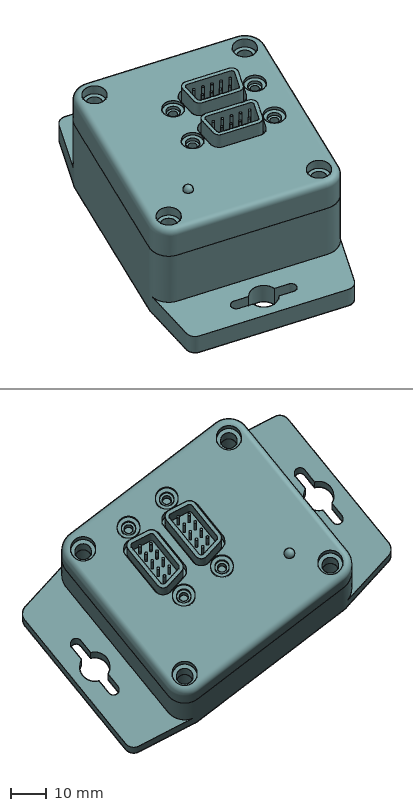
import cadquery as cq
import math

ENCLOSURE_X = 64.0
ENCLOSURE_Y = 58.0
CORNER_RADIUS = 6.0
BASE_HEIGHT = 25.0
LID_HEIGHT = 10.0
LID_TOP_Z = BASE_HEIGHT + LID_HEIGHT
LID_EDGE_RADIUS = 2.0

EAR_SPAN_X = 94.0
EAR_HEIGHT = 6.6
EAR_ROOT_X = 27.7
EAR_TIP_HALF_Y = 25.3
EAR_CORNER_RADIUS = 3.0
CORNER_CENTER_X = ENCLOSURE_X / 2 - CORNER_RADIUS
CORNER_CENTER_Y = ENCLOSURE_Y / 2 - CORNER_RADIUS
EAR_ROOT_HALF_Y = CORNER_CENTER_Y + math.sqrt(CORNER_RADIUS**2 - (EAR_ROOT_X - CORNER_CENTER_X) ** 2)

KEYHOLE_X = 39.95
KEYHOLE_DIAMETER = 8.5
KEYHOLE_SLOT_LENGTH = 20.0
KEYHOLE_SLOT_WIDTH = 3.2

SCREW_HOLE_DIAMETER = 4.6
SCREW_HEAD_DIAMETER = 7.05
SCREW_HEAD_DEPTH = 3.2

CONNECTOR_Y = 7.5
CONNECTOR_XS = [-12.1, 1.5]
CONNECTOR_TOP_Z = 39.0
SHELL_WIDTH = 9.4
SHELL_LONG_SIDE = 17.9
SHELL_SIDE_ANGLE = 10.0
SHELL_CORNER_RADIUS = 2.0
SHELL_WALL = 1.1
CONNECTOR_FLOOR = 0.9
RECESS_GAP = 0.9
RECESS_DEPTH = 5.0
RECESS_FLOOR_Z = LID_TOP_Z - RECESS_DEPTH

PIN_DIAMETER = 0.75
LONG_ROW_PINS = 5
PIN_ROW_LENGTH = 11.1
PIN_PITCH = PIN_ROW_LENGTH / (LONG_ROW_PINS - 1)
PIN_ROW_OFFSET = 1.4
PIN_ROWS = [(-PIN_ROW_OFFSET, LONG_ROW_PINS), (PIN_ROW_OFFSET, LONG_ROW_PINS - 1)]
PIN_TOP_Z = 38.5

LOCK_SCREW_SPACING = 25.0
LOCK_SCREW_STEPS = [(6.4, 1.0), (4.0, 2.2), (2.5, RECESS_DEPTH)]

LIGHT_X = 18.6
LIGHT_Y = -13.8
LIGHT_RADIUS = 1.5


def enclosure_block(height, bottom_z):
    block = cq.Workplane("XY").box(ENCLOSURE_X, ENCLOSURE_Y, height, centered=(True, True, False))
    return block.edges("|Z").fillet(CORNER_RADIUS).translate((0, 0, bottom_z))


def screw_cylinders(diameter, height, bottom_z):
    return (
        cq.Workplane("XY", origin=(0, 0, bottom_z))
        .rect(2 * CORNER_CENTER_X, 2 * CORNER_CENTER_Y, forConstruction=True)
        .vertices()
        .circle(diameter / 2)
        .extrude(height)
    )


def ear_plate():
    """Plate under the whole enclosure whose two ends form the ears."""
    tip_x = EAR_SPAN_X / 2
    outline = [
        (-tip_x, -EAR_TIP_HALF_Y),
        (-EAR_ROOT_X, -EAR_ROOT_HALF_Y),
        (EAR_ROOT_X, -EAR_ROOT_HALF_Y),
        (tip_x, -EAR_TIP_HALF_Y),
        (tip_x, EAR_TIP_HALF_Y),
        (EAR_ROOT_X, EAR_ROOT_HALF_Y),
        (-EAR_ROOT_X, EAR_ROOT_HALF_Y),
        (-tip_x, EAR_TIP_HALF_Y),
    ]
    plate = cq.Workplane("XY").polyline(outline).close().extrude(EAR_HEIGHT)
    return plate.edges("|Z and (<X or >X)").fillet(EAR_CORNER_RADIUS)


def keyholes():
    centers = [(-KEYHOLE_X, 0), (KEYHOLE_X, 0)]
    slots = (
        cq.Workplane("XY")
        .pushPoints(centers)
        .slot2D(KEYHOLE_SLOT_LENGTH, KEYHOLE_SLOT_WIDTH, 90)
        .extrude(EAR_HEIGHT)
    )
    holes = cq.Workplane("XY").pushPoints(centers).circle(KEYHOLE_DIAMETER / 2).extrude(EAR_HEIGHT)
    return slots.union(holes)


def make_base():
    base = enclosure_block(BASE_HEIGHT, 0).union(ear_plate())
    return base.cut(keyholes()).cut(screw_cylinders(SCREW_HOLE_DIAMETER, BASE_HEIGHT, 0))


def d_prism(offset, bottom_z, top_z):
    """Rounded D-shaped prism about the origin, grown outward by `offset` from the shell outline."""
    half_width = SHELL_WIDTH / 2
    long_half = SHELL_LONG_SIDE / 2
    taper = math.tan(math.radians(SHELL_SIDE_ANGLE))
    short_half = long_half - SHELL_WIDTH * taper
    slant_shift = offset / math.cos(math.radians(SHELL_SIDE_ANGLE))
    long_half += slant_shift + offset * taper
    short_half += slant_shift - offset * taper
    half_width += offset
    outline = [
        (-half_width, -long_half),
        (half_width, -short_half),
        (half_width, short_half),
        (-half_width, long_half),
    ]
    prism = cq.Workplane("XY", origin=(0, 0, bottom_z)).polyline(outline).close().extrude(top_z - bottom_z)
    return prism.edges("|Z").fillet(SHELL_CORNER_RADIUS + offset)


def lock_screw_hole():
    """Stepped hole about the origin, narrowing downward from the lid top."""
    hole = cq.Workplane("XY")
    for diameter, depth in LOCK_SCREW_STEPS:
        step = cq.Workplane("XY", origin=(0, 0, LID_TOP_Z - depth)).circle(diameter / 2).extrude(depth)
        hole = hole.add(step)
    return hole.combine()


def make_lid():
    lid = enclosure_block(LID_HEIGHT, BASE_HEIGHT).faces(">Z").edges().fillet(LID_EDGE_RADIUS)
    lid = lid.cut(screw_cylinders(SCREW_HOLE_DIAMETER, LID_HEIGHT, BASE_HEIGHT))
    lid = lid.cut(screw_cylinders(SCREW_HEAD_DIAMETER, SCREW_HEAD_DEPTH, LID_TOP_Z - SCREW_HEAD_DEPTH))
    recess = d_prism(RECESS_GAP, RECESS_FLOOR_Z, LID_TOP_Z)
    for x in CONNECTOR_XS:
        lid = lid.cut(recess.translate((x, CONNECTOR_Y, 0)))
        for side in (-1, 1):
            screw_y = CONNECTOR_Y + side * LOCK_SCREW_SPACING / 2
            lid = lid.cut(lock_screw_hole().translate((x, screw_y, 0)))
    return lid


def make_connector(x):
    """Open-topped D-shaped shell with its contact pins, standing on the recess floor."""
    cavity_floor_z = RECESS_FLOOR_Z + CONNECTOR_FLOOR
    connector = d_prism(0, RECESS_FLOOR_Z, CONNECTOR_TOP_Z)
    connector = connector.cut(d_prism(-SHELL_WALL, cavity_floor_z, CONNECTOR_TOP_Z))
    for row_x, count in PIN_ROWS:
        pins = (
            cq.Workplane("XY", origin=(row_x, 0, RECESS_FLOOR_Z))
            .rarray(0.9, PIN_PITCH, 1, count)
            .circle(PIN_DIAMETER / 2)
            .extrude(PIN_TOP_Z - RECESS_FLOOR_Z)
        )
        connector = connector.union(pins)
    return connector.translate((x, CONNECTOR_Y, 0))


def make_light():
    """Hemispherical dome resting on the lid."""
    dome = cq.Workplane("XY").sphere(LIGHT_RADIUS, angle1=0)
    return dome.translate((LIGHT_X, LIGHT_Y, LID_TOP_Z))


base = make_base()
lid = make_lid()
connectors = [make_connector(x) for x in CONNECTOR_XS]
light = make_light()

result = cq.Compound.makeCompound(
    [
        base.solids().val(),
        lid.solids().val(),
        *[connector.solids().val() for connector in connectors],
        light.solids().val(),
    ]
)